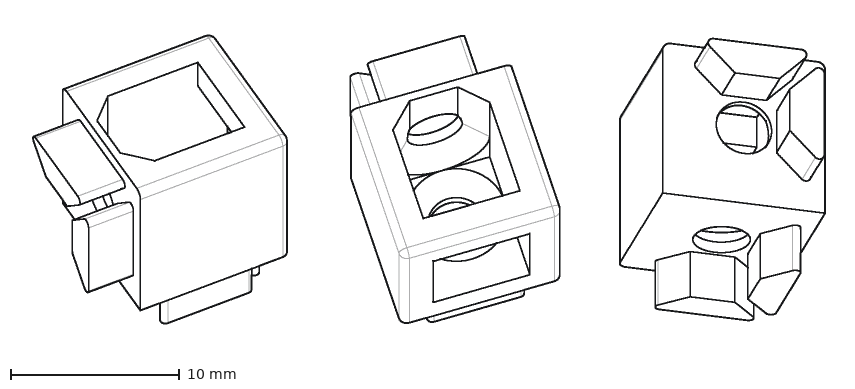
import cadquery as cq

overall_length = 13.0
block_size = 10.0
edge_radius = 0.5
socket_width = 6.0
hole_diameter = 3.4
channel_depth = 1.51

peg_inner_offset = 2.0
peg_outer_offset = 4.11
peg_inner_half_width = 1.38
peg_tip_radius = 0.32

peg_length = overall_length - block_size
half_block = block_size / 2
half_socket = socket_width / 2
hole_radius = hole_diameter / 2
cone_depth = half_socket - hole_radius
peg_outer_half_width = peg_inner_half_width + peg_outer_offset - peg_inner_offset

front_face = cq.Plane(origin=(0, -half_block, 0), xDir=(1, 0, 0), normal=(0, -1, 0))
bottom_face = cq.Plane(origin=(0, 0, -half_block), xDir=(0, 1, 0), normal=(0, 0, -1))


def make_block():
    """Cube rounded around its back and upper edges, sharp around the peg faces."""
    cube = cq.Workplane("XY").box(block_size, block_size, block_size)
    return cube.edges("(>Z or >Y) and (not <Y) and (not <Z)").fillet(edge_radius)


def make_peg(face):
    """Wedge peg on the local +y side of a face."""
    outline = [
        (-peg_inner_half_width, peg_inner_offset),
        (peg_inner_half_width, peg_inner_offset),
        (peg_outer_half_width, peg_outer_offset),
        (-peg_outer_half_width, peg_outer_offset),
    ]
    peg = cq.Workplane(face).polyline(outline).close().extrude(peg_length)
    for direction in (face.xDir, -face.xDir):
        peg = peg.edges(cq.selectors.DirectionMinMaxSelector(direction)).fillet(peg_tip_radius)
    return peg


def make_peg_pair(face):
    """Two matching pegs mirrored across the diagonal of a face."""
    turned_face = cq.Plane(origin=face.origin, xDir=-face.yDir, normal=face.zDir)
    return make_peg(face).union(make_peg(turned_face))


def make_socket():
    """Square cavity open to the top and the back."""
    reach = half_socket + half_block
    return (
        cq.Workplane("XY")
        .box(socket_width, socket_width, reach, centered=(True, True, False))
        .translate((0, 0, -half_socket))
        .union(
            cq.Workplane("XY")
            .box(socket_width, reach, socket_width, centered=(True, False, True))
            .translate((0, -half_socket, 0))
        )
    )


def make_tapered_channel():
    """Channel in front of the socket, from the hole axis up through the top."""
    narrow_half_width = half_socket - channel_depth
    outline = [
        (-half_socket, -half_socket),
        (half_socket, -half_socket),
        (narrow_half_width, -half_socket - channel_depth),
        (-narrow_half_width, -half_socket - channel_depth),
    ]
    return cq.Workplane("XY").polyline(outline).close().extrude(half_block)


def make_countersunk_hole(face):
    """Hole through a peg face that widens in a cone to the socket wall."""
    wall = half_block - half_socket
    profile = [
        (0, 0),
        (hole_radius, 0),
        (hole_radius, cone_depth - wall),
        (half_socket, -wall),
        (0, -wall),
    ]
    section = cq.Plane(origin=face.origin, xDir=face.xDir, normal=face.xDir.cross(face.zDir))
    return cq.Workplane(section).polyline(profile).close().revolve(360, (0, 0), (0, 1))


result = make_block().cut(make_socket()).cut(make_tapered_channel())
for peg_face in (front_face, bottom_face):
    result = result.cut(make_countersunk_hole(peg_face))
    result = result.union(make_peg_pair(peg_face))